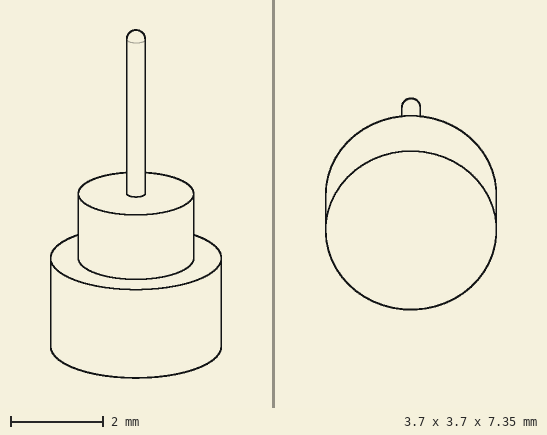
import cadquery as cq

total_height = 7.35

base_diameter = 3.7
base_height = 2.06
shoulder_diameter = 2.5
shoulder_height = 1.5

pin_diameter = 0.405
pin_radius = pin_diameter / 2
pin_length = total_height - base_height - shoulder_height
pin_straight_length = pin_length - pin_radius

body = (
    cq.Workplane("XY")
    .circle(base_diameter / 2)
    .extrude(base_height)
    .faces(">Z")
    .workplane()
    .circle(shoulder_diameter / 2)
    .extrude(shoulder_height)
)

shoulder_top = base_height + shoulder_height
pin = (
    cq.Workplane("XY", origin=(0, 0, shoulder_top))
    .circle(pin_radius)
    .extrude(pin_straight_length)
)
tip = cq.Workplane("XY", origin=(0, 0, shoulder_top + pin_straight_length)).sphere(pin_radius)

result = body.union(pin).union(tip)